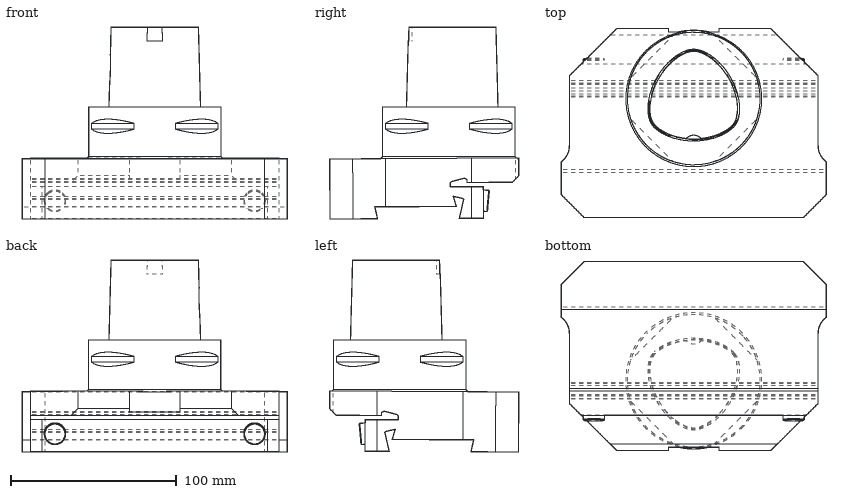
import cadquery as cq
import math


block_width = 160.0
waist_width = 150.0
block_height = 36.3
block_back = 42.4
block_front = -71.7
back_chamfer = 28.6
front_chamfer = 14.0
scallop_radius = 11.8
scallop_start = -28.5
block_tilt = 0.3
notch_width = 30.4
notch_depth = 2.0

lip_bottom = 21.6
lip_chamfer = 4.0
jaw_back = 21.0
jaw_top = 19.2
slit_end = 1.1
dovetail_floor = 7.2
relief_peak = 13.3
dovetail_front = -42.9
dovetail_undercut = 1.6
dovetail_back = 6.2
relief_outer = 9.0
relief_inner = 2.9
relief_drop = 1.3
relief_corner = 0.5
pocket_outer = 11.0
pocket_peak = 9.5
pocket_depth = 2.5
pocket_end_depth = 0.6
pocket_corner = 0.6

screw_diameter = 13.0
screw_spacing = 120.3
screw_height = 10.7
screw_head = 3.0
screw_embed = 3.2
screw_edge = 0.5
screw_tilt = 5.5

collar_diameter = 80.0
collar_top = 67.7
collar_embed = 4.8
foot_diameter = 82.5
foot_top = 37.8
grip_height = 56.0
grip_floor_height = 3.5
grip_mouth_height = 8.6
grip_depth = 4.3
grip_angles = (45, 135, 225, 315)

part_top = 115.8
taper_base_radius = 27.7
taper_top_radius = 26.4
lobe_size = 2.0
lobe_points = 48
key_radius = 6.0
key_center = -28.0
key_depth = 8.5


def make_outline():
    """Block outline: chamfered corners, with a concave step in each long side."""
    half = block_width / 2
    waist = waist_width / 2
    step = half - waist
    turn = math.acos(1 - step / scallop_radius)

    def scallop_point(angle):
        x = waist + scallop_radius * (1 - math.cos(angle))
        return x, scallop_start - scallop_radius * math.sin(angle)

    middle = scallop_point(turn / 2)
    end = scallop_point(turn)
    return (
        cq.Workplane("XY")
        .moveTo(0, block_front)
        .lineTo(half - front_chamfer, block_front)
        .lineTo(half, block_front + front_chamfer)
        .lineTo(*end)
        .threePointArc(middle, (waist, scallop_start))
        .lineTo(waist, block_back - back_chamfer)
        .lineTo(waist - back_chamfer, block_back)
        .lineTo(0, block_back)
        .mirrorY()
        .extrude(block_height)
    )


def make_side_profile():
    """Lip, slit, clamping jaw and dovetail, constant along X."""
    points = [
        (block_front, 0),
        (dovetail_front, 0),
        (dovetail_front - dovetail_undercut, dovetail_floor),
        (dovetail_back - dovetail_undercut, dovetail_floor),
        (relief_inner, relief_peak),
        (relief_outer - relief_corner, relief_peak - relief_drop),
        (relief_outer, relief_peak - relief_drop - relief_corner),
        (dovetail_back, 0),
        (jaw_back, 0),
        (jaw_back, jaw_top),
        (slit_end, jaw_top),
        (slit_end, lip_bottom),
        (slit_end + pocket_corner, lip_bottom + pocket_end_depth),
        (pocket_peak, lip_bottom + pocket_depth),
        (pocket_outer, lip_bottom + pocket_depth - pocket_corner),
        (pocket_outer, lip_bottom),
        (block_back - lip_chamfer, lip_bottom),
        (block_back, lip_bottom + lip_chamfer),
        (block_back, block_height),
        (block_front, block_height),
    ]
    return cq.Workplane("YZ").polyline(points).close().extrude(block_width / 2, both=True)


def make_screws():
    """Screw heads on the back of the jaw, leaning downwards."""
    screw = (
        cq.Workplane("XZ", origin=(0, -screw_embed, 0))
        .circle(screw_diameter / 2)
        .extrude(-(screw_embed + screw_head))
        .faces(">Y")
        .chamfer(screw_edge)
        .rotate((0, 0, 0), (1, 0, 0), -screw_tilt)
    )
    left = screw.translate((-screw_spacing / 2, jaw_back, screw_height))
    return left.union(left.mirror("YZ"))


def make_block():
    block = make_outline().intersect(make_side_profile()).union(make_screws())
    notch = cq.Workplane("XY").box(notch_width, 2 * notch_depth, block_height, centered=(True, True, False))
    block = block.cut(notch.translate((0, block_back, 0)))
    return block.rotate((0, block_front, 0), (1, block_front, 0), block_tilt)


def make_collar():
    """Collar with a small conical foot and four V-sided gripper slots."""
    radius = collar_diameter / 2
    foot_bottom = block_height
    collar = (
        cq.Workplane("XZ")
        .moveTo(0, foot_bottom - collar_embed)
        .lineTo(radius, foot_bottom - collar_embed)
        .lineTo(radius, foot_bottom)
        .lineTo(foot_diameter / 2, foot_bottom)
        .lineTo(radius, foot_top)
        .lineTo(radius, collar_top)
        .lineTo(0, collar_top)
        .close()
        .revolve(360, (0, 0, 0), (0, 1, 0))
    )
    floor = radius - grip_depth
    half_floor = grip_floor_height / 2
    half_mouth = grip_mouth_height / 2
    grip = (
        cq.Workplane("XZ", origin=(0, 0, grip_height))
        .polyline([(floor, -half_floor), (radius, -half_mouth), (radius, half_mouth), (floor, half_floor)])
        .close()
        .extrude(radius, both=True)
    )
    for angle in grip_angles:
        collar = collar.cut(grip.rotate((0, 0, 0), (0, 0, 1), angle))
    return collar


def lobe_curve(mean_radius):
    """Points of a three-lobed curve of constant width, one lobe towards +Y."""
    points = []
    for index in range(lobe_points):
        angle = 2 * math.pi * index / lobe_points
        reach = mean_radius - lobe_size * math.sin(3 * angle)
        slope = -3 * lobe_size * math.cos(3 * angle)
        x = reach * math.cos(angle) - slope * math.sin(angle)
        y = reach * math.sin(angle) + slope * math.cos(angle)
        points.append((x, y))
    return points


def make_taper():
    taper = (
        cq.Workplane("XY", origin=(0, 0, collar_top))
        .spline(lobe_curve(taper_base_radius), periodic=True)
        .close()
        .workplane(offset=part_top - collar_top)
        .spline(lobe_curve(taper_top_radius), periodic=True)
        .close()
        .loft(ruled=True)
    )
    key = (
        cq.Workplane("XY", origin=(0, key_center, part_top - key_depth))
        .circle(key_radius)
        .extrude(key_depth)
    )
    return taper.cut(key)


result = make_block().union(make_collar()).union(make_taper())